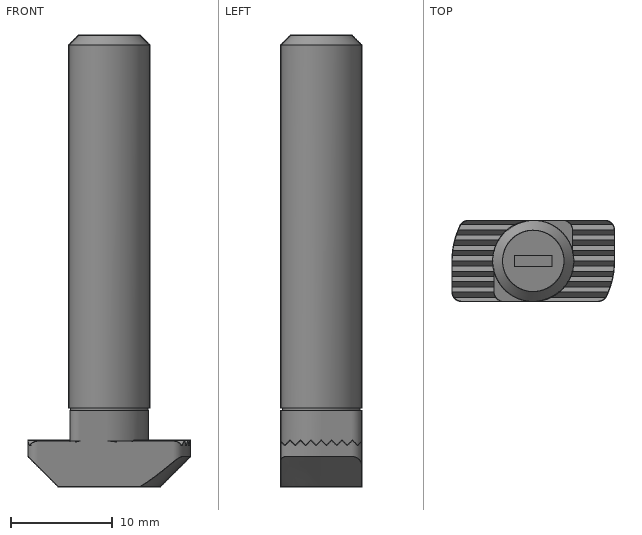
import cadquery as cq
import math

total_height = 44.5
shank_radius = 4.0
tip_chamfer = 1.0
shank_bottom = 7.75
undercut_radius = 3.83
neck_top = 7.5
neck_half_width = 3.85
corner_radius = 1.0

head_half_length = 8.0
head_half_width = shank_radius
head_height = 4.6
bevel_height = 3.0

tooth_pitch = 1.02
tooth_depth = tooth_pitch / 2
groove_count = 8

slot_length = 3.7
slot_width = 1.1
slot_depth = 0.6


def shank():
    """Round shank with a chamfered tip and a shallow undercut above the neck."""
    body = (
        cq.Workplane("XY").workplane(offset=shank_bottom)
        .circle(shank_radius).extrude(total_height - shank_bottom)
        .faces(">Z").chamfer(tip_chamfer)
    )
    undercut = (
        cq.Workplane("XY").workplane(offset=neck_top)
        .circle(undercut_radius).extrude(shank_bottom - neck_top)
    )
    return body.union(undercut)


def tip_slot():
    """Shallow rectangular recess in the shank tip."""
    return (
        cq.Workplane("XY").workplane(offset=total_height - slot_depth)
        .rect(slot_length, slot_width).extrude(slot_depth)
    )


def neck():
    """Neck with two tight and two wide opposite corners, for a quarter turn."""
    side = neck_half_width
    front = shank_radius
    wide_radius = shank_radius
    arc_end = side - wide_radius
    arc_mid_x = arc_end + wide_radius * math.cos(math.pi / 4)
    arc_mid_y = wide_radius * math.sin(math.pi / 4)
    tight = corner_radius
    tight_mid = tight * (1 - math.cos(math.pi / 4))
    return (
        cq.Workplane("XY")
        .moveTo(side, 0)
        .lineTo(side, front - tight)
        .threePointArc((side - tight_mid, front - tight_mid), (side - tight, front))
        .lineTo(-arc_end, front)
        .threePointArc((-arc_mid_x, arc_mid_y), (-side, 0))
        .lineTo(-side, tight - front)
        .threePointArc((tight_mid - side, tight_mid - front), (tight - side, -front))
        .lineTo(arc_end, -front)
        .threePointArc((arc_mid_x, -arc_mid_y), (side, 0))
        .close().extrude(neck_top)
    )


def head_plan():
    """Head block whose swing corners follow a circle about the bolt axis."""
    swing_x = math.sqrt(head_half_length**2 - head_half_width**2)
    swing_mid = head_half_width / 2
    swing_mid_x = math.sqrt(head_half_length**2 - swing_mid**2)
    return (
        cq.Workplane("XY")
        .moveTo(head_half_length, 0)
        .lineTo(head_half_length, head_half_width)
        .lineTo(-swing_x, head_half_width)
        .threePointArc((-swing_mid_x, swing_mid), (-head_half_length, 0))
        .lineTo(-head_half_length, -head_half_width)
        .lineTo(swing_x, -head_half_width)
        .threePointArc((swing_mid_x, -swing_mid), (head_half_length, 0))
        .close().extrude(head_height)
        .edges("|Z").edges(">Y or <Y").fillet(corner_radius)
    )


def head_envelope():
    """Beveled underside: conical at the swing corners, flat at the other two."""
    half_profile = [
        (0, 0),
        (head_half_length - bevel_height, 0),
        (head_half_length, bevel_height),
        (head_half_length, head_height),
        (0, head_height),
    ]
    envelope = cq.Workplane("XZ").polyline(half_profile).close().revolve(360, (0, 0), (0, 1))
    wedge = cq.Workplane("XZ").polyline(half_profile).close().extrude(-head_half_width)
    opposite_wedge = wedge.rotate((0, 0, 0), (0, 0, 1), 180)
    return envelope.union(wedge).union(opposite_wedge)


def serrations():
    """V grooves running along the top of the head."""
    cutters = cq.Workplane("XY")
    for index in range(groove_count):
        y = (index - (groove_count - 1) / 2) * tooth_pitch
        groove = (
            cq.Workplane("YZ").workplane(offset=-head_half_length)
            .moveTo(y - tooth_pitch / 2, head_height)
            .lineTo(y + tooth_pitch / 2, head_height)
            .lineTo(y, head_height - tooth_depth)
            .close().extrude(2 * head_half_length)
        )
        cutters = cutters.add(groove)
    return cutters.combine()


head = head_plan().intersect(head_envelope()).cut(serrations())
result = head.union(neck()).union(shank()).cut(tip_slot())